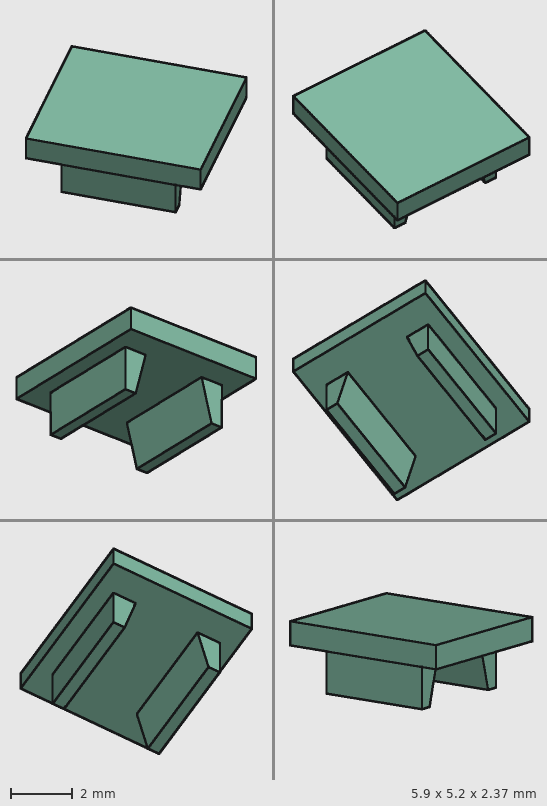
import cadquery as cq

plate_length = 5.9
plate_width = 5.2
plate_thickness = 0.8

total_height = 2.37
leg_height = total_height - plate_thickness
leg_length = 3.85
leg_outer_span = 4.0
leg_root_thickness = 0.84
leg_tip_thickness = 0.425


def make_leg(side):
    """Tapered leg under the plate, on the +Y (side=1) or -Y (side=-1) half."""
    outer_y = leg_outer_span / 2
    profile = [
        (side * outer_y, 0),
        (side * (outer_y - leg_root_thickness), 0),
        (side * (outer_y - leg_tip_thickness), -leg_height),
        (side * outer_y, -leg_height),
    ]
    return cq.Workplane("YZ").polyline(profile).close().extrude(leg_length / 2, both=True)


result = cq.Workplane("XY").box(
    plate_length, plate_width, plate_thickness, centered=(True, True, False)
)
for side in (-1, 1):
    result = result.union(make_leg(side))